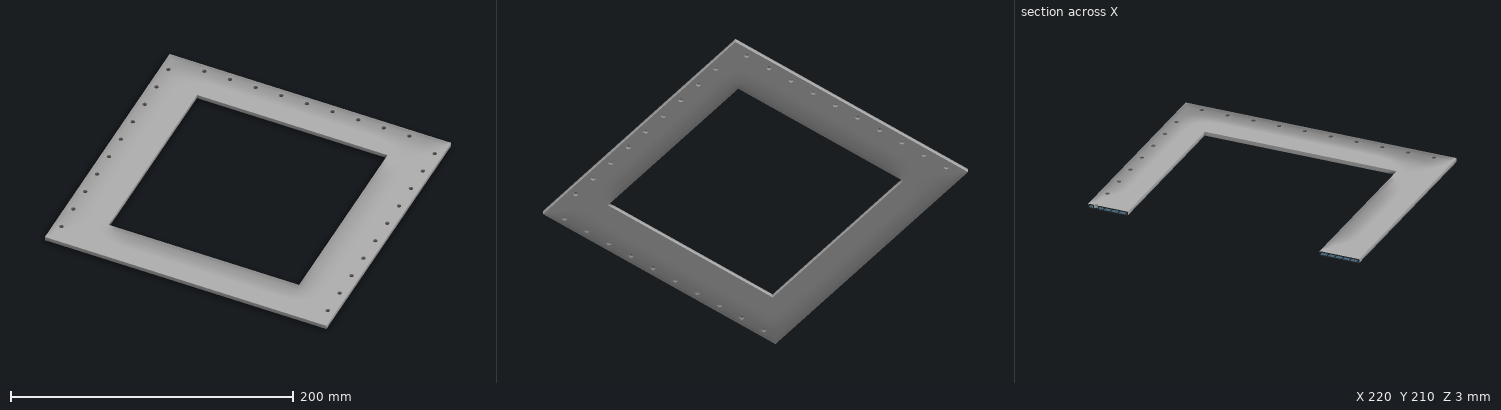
import cadquery as cq

length = 220.0
width = 210.0
thickness = 3.0

window_side = 149.0

hole_diameter = 3.3
hole_pitch = 20.0
hole_inset = 6.0
side_hole_count = 10
back_hole_count = 9


def centred_positions(count):
    """Evenly pitched coordinates, symmetric about zero."""
    return [(i - (count - 1) / 2) * hole_pitch for i in range(count)]


def hole_points():
    """Hole centres along the left, right and back edges."""
    side_x = length / 2 - hole_inset
    back_y = width / 2 - hole_inset
    points = [(x, back_y) for x in centred_positions(back_hole_count)]
    for x in (-side_x, side_x):
        points += [(x, y) for y in centred_positions(side_hole_count)]
    return points


plate = cq.Workplane("XY").rect(length, width).extrude(thickness)
window = cq.Workplane("XY").rect(window_side, window_side).extrude(thickness)
holes = cq.Workplane("XY").pushPoints(hole_points()).circle(hole_diameter / 2).extrude(thickness)

result = plate.cut(window).cut(holes)